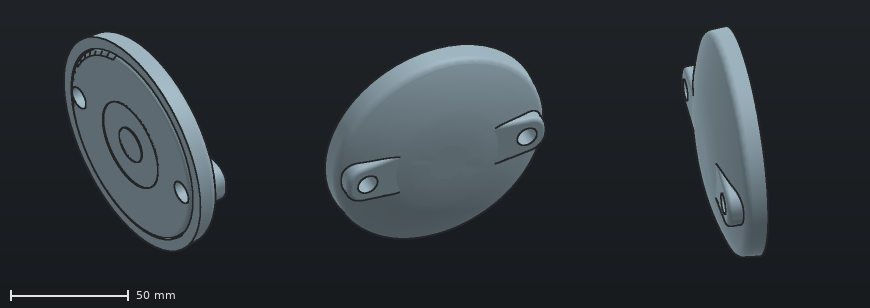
import cadquery as cq
import math


rim_radius = 49.5
rim_draft = 5.0
dome_height = 18.0
crown_radius = 9.0
dome_arc_radius = 91.1
shoulder_radius = 4.0

boss_top = 16.8
boss_end = 46.2
boss_root = 13.9
boss_base = 7.4
boss_end_half_width = 8.6
boss_flare = 6.5
boss_corner_radius = 7.8
boss_edge_radius = 2.1

plate_radius = 43.5
plate_protrusion = 1.0
plate_thickness = 6.4
plate_edge_radius = 2.0
recess_radius = 44.1
recess_depth = plate_thickness - plate_protrusion

groove_outer_radius = 20.0
groove_inner_radius = 8.0
groove_depth = 0.5

hole_offset = 37.0
housing_hole_radius = 4.6
plate_hole_radius = 5.0

SIDES = (-1, 1)


def cylinder(radius, y_start, y_end, x=0):
    """Cylinder parallel to Y between two Y positions."""
    base = cq.Workplane("XZ", origin=(x, y_start, 0))
    return base.circle(radius).extrude(y_start - y_end)


def drill_screw_holes(body, radius, y_start, y_end):
    for side in SIDES:
        body = body.cut(cylinder(radius, y_start, y_end, side * hole_offset))
    return body


def make_dome():
    """Rim and dome revolved about Y, with the shoulder rounded."""
    arc_centre = dome_height - dome_arc_radius
    slope = math.tan(math.radians(rim_draft))
    reach = rim_radius - crown_radius
    a = 1 + slope**2
    b = reach * slope + arc_centre
    c = reach**2 + arc_centre**2 - dome_arc_radius**2
    edge_y = (b + math.sqrt(b**2 - a * c)) / a
    edge_x = rim_radius - slope * edge_y
    half_angle = math.asin((edge_x - crown_radius) / dome_arc_radius) / 2
    middle = (
        crown_radius + dome_arc_radius * math.sin(half_angle),
        arc_centre + dome_arc_radius * math.cos(half_angle),
    )
    profile = (
        cq.Workplane("XY")
        .lineTo(rim_radius, 0)
        .lineTo(edge_x, edge_y)
        .threePointArc(middle, (crown_radius, dome_height))
        .lineTo(0, dome_height)
        .close()
    )
    dome = profile.revolve(360, (0, 0, 0), (0, 1, 0))
    shoulder = cq.selectors.RadiusNthSelector(1)
    return dome.edges(shoulder).fillet(shoulder_radius)


def make_boss(side):
    """Block that widens toward the axis, with rounded corners and top edge."""
    flare = (boss_end - boss_root) * math.tan(math.radians(boss_flare))
    root_half_width = boss_end_half_width + flare
    outline = [
        (side * boss_root, -root_half_width),
        (side * boss_end, -boss_end_half_width),
        (side * boss_end, boss_end_half_width),
        (side * boss_root, root_half_width),
    ]
    boss = (
        cq.Workplane("XZ", origin=(0, boss_base, 0))
        .polyline(outline)
        .close()
        .extrude(boss_base - boss_top)
    )
    outer_face = ">X" if side > 0 else "<X"
    boss = boss.faces(outer_face).edges("|Y").fillet(boss_corner_radius)
    return boss.faces(">Y").edges().fillet(boss_edge_radius)


def make_housing():
    housing = make_dome()
    for side in SIDES:
        housing = housing.union(make_boss(side))
    housing = housing.cut(cylinder(recess_radius, 0, recess_depth))
    return drill_screw_holes(housing, housing_hole_radius, 0, dome_height)


def make_plate():
    plate = cylinder(plate_radius, -plate_protrusion, recess_depth)
    plate = plate.faces("<Y").edges().fillet(plate_edge_radius)
    groove_floor = groove_depth - plate_protrusion
    groove = cylinder(groove_outer_radius, -plate_protrusion, groove_floor)
    groove = groove.cut(cylinder(groove_inner_radius, -plate_protrusion, groove_floor))
    plate = plate.cut(groove)
    return drill_screw_holes(plate, plate_hole_radius, -plate_protrusion, recess_depth)


housing = make_housing()
plate = make_plate()

result = cq.Compound.makeCompound([housing.val(), plate.val()])